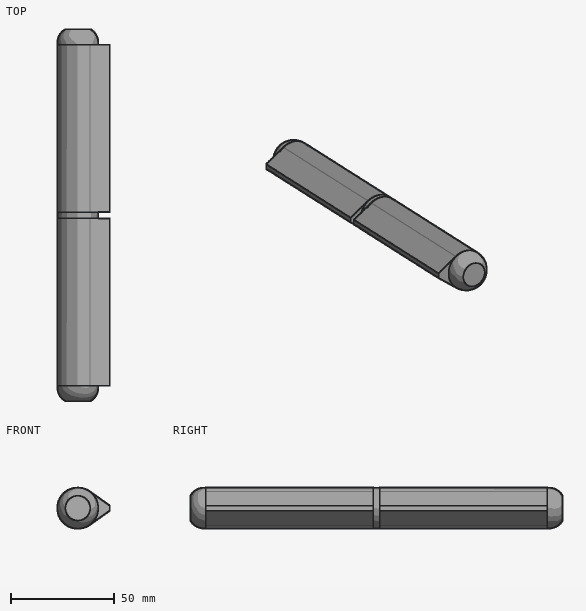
import cadquery as cq
import math

total_length = 180.0
barrel_diameter = 20.0
collar_diameter = 19.8
tip_reach = 15.5
tip_height = 2.5
washer_thickness = 3.0
cap_length = 7.5
cap_flat_diameter = 12.0
cap_arc_radius = 7.5

barrel_radius = barrel_diameter / 2
collar_radius = collar_diameter / 2
cap_flat_radius = cap_flat_diameter / 2
half_length = total_length / 2
half_washer = washer_thickness / 2
leaf_end = half_length - cap_length
leaf_length = leaf_end - half_washer


def hinge_leaf(y_start):
    """Teardrop prism: round barrel with tangent flanks closing on a flat tip."""
    tip_z = tip_height / 2
    tip_distance = math.hypot(tip_reach, tip_z)
    tangent_angle = math.atan2(tip_z, tip_reach) + math.acos(barrel_radius / tip_distance)
    tangent_x = barrel_radius * math.cos(tangent_angle)
    tangent_z = barrel_radius * math.sin(tangent_angle)
    return (
        cq.Workplane("XZ", origin=(0, y_start, 0))
        .moveTo(tip_reach, -tip_z)
        .lineTo(tip_reach, tip_z)
        .lineTo(tangent_x, tangent_z)
        .threePointArc((-barrel_radius, 0), (tangent_x, -tangent_z))
        .close()
        .extrude(-leaf_length)
    )


def pin_with_caps():
    """Core showing as the middle washer and as a flat-ended domed cap beyond each leaf."""
    return (
        cq.Workplane("XY")
        .moveTo(0, -half_length)
        .lineTo(cap_flat_radius, -half_length)
        .radiusArc((collar_radius, -leaf_end), -cap_arc_radius)
        .lineTo(collar_radius, leaf_end)
        .radiusArc((cap_flat_radius, half_length), -cap_arc_radius)
        .lineTo(0, half_length)
        .close()
        .revolve(360, (0, 0, 0), (0, 1, 0))
    )


result = pin_with_caps()
for leaf_start in (-leaf_end, half_washer):
    result = result.union(hinge_leaf(leaf_start))